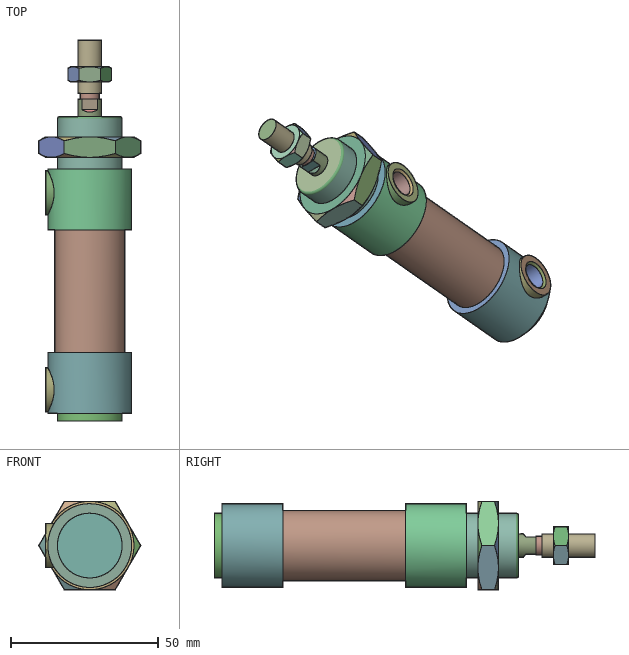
import cadquery as cq
import math


REAR_CAP_START = 2.6
REAR_CAP_END = 23.3
FRONT_CAP_START = 65.0
FRONT_CAP_END = 85.7
NECK_END = 103.5
ROD_END = 129.5

CAP_DIAMETER = 28.5
TUBE_DIAMETER = 24.0
NECK_DIAMETER = 22.0
NECK_FILLET = 0.8

PORT_POSITIONS = (10.6, 77.6)
PORT_BOSS_DIAMETER = 15.0
PORT_BOSS_REACH = 15.0
PORT_DIAMETER = 8.7
PORT_MOUTH_DIAMETER = 10.2
PORT_DEPTH = 7.8

ROD_DIAMETER = 8.0
GROOVE_DIAMETER = 6.5
GROOVE_START = 109.4
GROOVE_END = 111.4
FLATS_WIDTH = 6.0
FLATS_START = 105.9
FLATS_RAMP_LENGTH = 0.9

MOUNTING_NUT_FLATS = 30.0
MOUNTING_NUT_START = 89.6
MOUNTING_NUT_THICKNESS = 7.0
LOCK_NUT_FLATS = 13.0
LOCK_NUT_START = 115.3
LOCK_NUT_THICKNESS = 5.2
NUT_CHAMFER_ANGLE = 30.0


def cylinder(diameter, start, end):
    """Solid cylinder on the Y axis between two Y positions."""
    plane = cq.Plane(origin=(0, start, 0), xDir=(1, 0, 0), normal=(0, 1, 0))
    return cq.Workplane(plane).circle(diameter / 2).extrude(end - start)


def port_cylinder(diameter, position, depth):
    """Cylinder running inwards along +X from a port's outer face."""
    plane = cq.Plane(origin=(-PORT_BOSS_REACH, position, 0), xDir=(0, 1, 0), normal=(1, 0, 0))
    return cq.Workplane(plane).circle(diameter / 2).extrude(depth)


def port_countersink(position):
    """45 degree cone that widens a port's mouth."""
    depth = (PORT_MOUTH_DIAMETER - PORT_DIAMETER) / 2
    outer_face = cq.Vector(-PORT_BOSS_REACH, position, 0)
    inwards = cq.Vector(1, 0, 0)
    return cq.Solid.makeCone(PORT_MOUTH_DIAMETER / 2, PORT_DIAMETER / 2, depth, outer_face, inwards)


def make_housing():
    """Stepped cylinder body with a threaded neck and two side ports."""
    neck = cylinder(NECK_DIAMETER, FRONT_CAP_END, NECK_END).faces(">Y").fillet(NECK_FILLET)
    body = (
        cylinder(NECK_DIAMETER, 0, REAR_CAP_START)
        .union(cylinder(CAP_DIAMETER, REAR_CAP_START, REAR_CAP_END))
        .union(cylinder(TUBE_DIAMETER, REAR_CAP_END, FRONT_CAP_START))
        .union(cylinder(CAP_DIAMETER, FRONT_CAP_START, FRONT_CAP_END))
        .union(neck)
    )
    for position in PORT_POSITIONS:
        body = (
            body.union(port_cylinder(PORT_BOSS_DIAMETER, position, PORT_BOSS_REACH))
            .cut(port_cylinder(PORT_DIAMETER, position, PORT_DEPTH))
            .cut(port_countersink(position))
        )
    return body


def make_rod():
    """Piston rod with an undercut groove and two wrench flats facing +Z and -Z."""
    rod = (
        cylinder(ROD_DIAMETER, NECK_END, GROOVE_START)
        .union(cylinder(GROOVE_DIAMETER, GROOVE_START, GROOVE_END))
        .union(cylinder(ROD_DIAMETER, GROOVE_END, ROD_END))
    )
    flat_z = FLATS_WIDTH / 2
    outer_z = ROD_DIAMETER / 2
    flat_cut = (
        cq.Workplane("YZ")
        .moveTo(FLATS_START, flat_z)
        .lineTo(GROOVE_START, flat_z)
        .lineTo(GROOVE_START, outer_z)
        .lineTo(FLATS_START - FLATS_RAMP_LENGTH, outer_z)
        .close()
        .extrude(outer_z, both=True)
    )
    return rod.cut(flat_cut).cut(flat_cut.mirror("XY"))


def make_nut(across_flats, start, thickness, bore):
    """Hexagon nut with corners along X, both ends turned to a cone."""
    corner_diameter = across_flats / math.cos(math.pi / 6)
    plane = cq.Plane(origin=(0, start, 0), xDir=(1, 0, 0), normal=(0, 1, 0))
    hexagon = cq.Workplane(plane).polygon(6, corner_diameter).extrude(thickness)

    end = start + thickness
    rim = corner_diameter / 2
    face_radius = across_flats / 2
    drop = (rim - face_radius) * math.tan(math.radians(NUT_CHAMFER_ANGLE))
    blank = (
        cq.Workplane("XY")
        .polyline([
            (0, start),
            (face_radius, start),
            (rim, start + drop),
            (rim, end - drop),
            (face_radius, end),
            (0, end),
        ])
        .close()
        .revolve(360, (0, 0), (0, 1))
    )
    return hexagon.intersect(blank).cut(cylinder(bore, start, end))


housing = make_housing()
rod = make_rod()
mounting_nut = make_nut(
    MOUNTING_NUT_FLATS, MOUNTING_NUT_START, MOUNTING_NUT_THICKNESS, NECK_DIAMETER
)
lock_nut = make_nut(
    LOCK_NUT_FLATS, LOCK_NUT_START, LOCK_NUT_THICKNESS, ROD_DIAMETER
)

result = cq.Compound.makeCompound([housing.val(), rod.val(), mounting_nut.val(), lock_nut.val()])